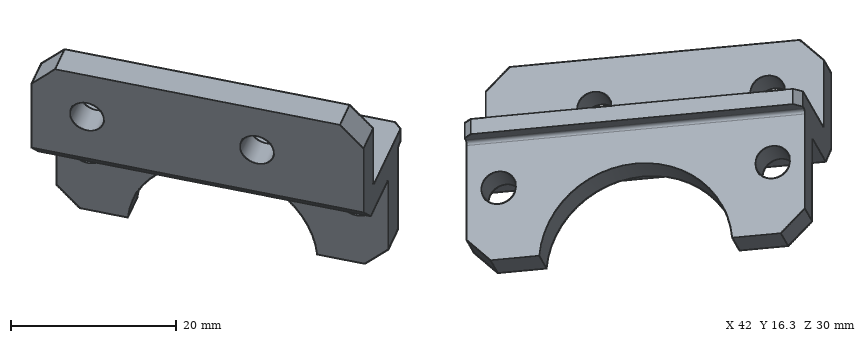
import cadquery as cq

length = 42.0
depth = 16.3
height = 30.0

plate_thickness = 4.0
shelf_bottom = 14.0
shelf_top = 18.0
lip_overhang = 2.0
lip_thickness = 2.0
lower_back = depth - lip_overhang
lower_front = lower_back - plate_thickness
inner_fillet = 0.5

corner_chamfer = 3.0
lip_chamfer = 1.0

hole_diameter = 4.3
upper_hole_xs = (7.0, 28.5)
upper_hole_z = 23.5
lower_hole_inset = 4.0
lower_hole_z = 9.5
cutout_radius = 12.0
cutout_center_z = -1.0


def make_body():
    """Extrude the stepped YZ section along X and round its inner corners."""
    section = [
        (0, height),
        (plate_thickness, height),
        (plate_thickness, shelf_top),
        (depth, shelf_top),
        (depth, shelf_top - lip_thickness),
        (lower_back, shelf_top - lip_thickness),
        (lower_back, 0),
        (lower_front, 0),
        (lower_front, shelf_bottom),
        (corner_chamfer, shelf_bottom),
        (0, shelf_bottom + corner_chamfer),
    ]
    body = cq.Workplane("YZ").polyline(section).close().extrude(length)
    inner_corners = [
        (plate_thickness, shelf_top),
        (lower_back, shelf_top - lip_thickness),
        (lower_front, shelf_bottom),
    ]
    for y, z in inner_corners:
        nearest = cq.selectors.NearestToPointSelector((length / 2, y, z))
        body = body.edges(nearest).fillet(inner_fillet)
    return body


def chamfer_ends(body):
    """Bevel the outer corners of both plates and of the rear lip."""
    body = body.edges("|Y and (>Z or <Z)").edges("<X or >X").chamfer(corner_chamfer)
    return body.faces(">Y").edges("|Z").chamfer(lip_chamfer)


def cylinder_along_y(x, z, diameter):
    """Cylinder running through the full depth of the part."""
    return cq.Workplane("XZ").center(x, z).circle(diameter / 2).extrude(-depth)


result = chamfer_ends(make_body())

for hole_x in upper_hole_xs:
    result = result.cut(cylinder_along_y(hole_x, upper_hole_z, hole_diameter))

for hole_x in (lower_hole_inset, length - lower_hole_inset):
    result = result.cut(cylinder_along_y(hole_x, lower_hole_z, hole_diameter))

result = result.cut(cylinder_along_y(length / 2, cutout_center_z, 2 * cutout_radius))